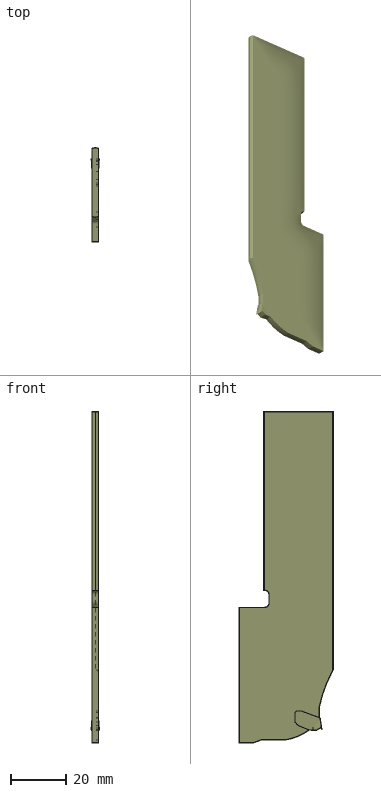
import cadquery as cq
import math

height = 120.0
depth = 34.19
blade_thickness = 2.5
cutting_width = 3.0
half_thickness = blade_thickness / 2

shank_width = 25.3
shank_front_y = depth - shank_width
edge_slope = math.radians(15)
edge_depth = half_thickness * math.tan(edge_slope)

shelf_z = 49.1
notch_height = 6.1
notch_top_z = shelf_z + notch_height
notch_back_y = 10.8
notch_radius = 1.5

relief_start = (depth, 26.6)
relief_middle = (31.1, 19.9)
relief_end = (29.1, 12.9)

foot_width = 5.3
step_height = 1.05
step_front_y = 8.1
under_arc_start_y = 16.9
under_arc_middle = (21.5, 2.4)

seat_top_outer = (relief_end[0], 9.1)
seat_top_inner = (22.6, 11.5)
seat_back_y = 20.2
seat_corner = 0.6
seat_back_low = (seat_back_y, 7.55)
seat_bottom_inner = (21.4, 6.3)
seat_bottom_outer = (25.4, 4.65)

tip = (30.0, 4.9)
insert_heel = (29.4, 8.9)
tip_groove = (29.5, 5.4)
tip_land_z = 4.5
tip_land_start_y = 28.0
flare_front_y = 26.75
flare_length = 2.7
flare_angle = math.radians(45)


def add_seat(outline):
    """Continue an outline along the insert seat, from its lower mouth to its upper one."""
    return (
        outline.lineTo(*seat_bottom_inner)
        .lineTo(*seat_back_low)
        .lineTo(seat_back_y, seat_top_inner[1] - seat_corner)
        .lineTo(seat_back_y + seat_corner, seat_top_inner[1])
        .lineTo(*seat_top_inner)
        .lineTo(*seat_top_outer)
    )


def extrude_both_ways(outline, thickness):
    return outline.close().extrude(thickness / 2, both=True)


def edge_bevel(apex_y, inward, bottom_z):
    """Two wedges that leave a V-shaped edge with its apex on the middle plane."""
    root_y = apex_y + inward * edge_depth
    wedges = cq.Workplane("XY")
    for side in (-1, 1):
        wedge = (
            cq.Workplane("XY", origin=(0, 0, bottom_z))
            .moveTo(0, apex_y)
            .lineTo(side * half_thickness, root_y)
            .lineTo(side * half_thickness, apex_y)
            .close()
            .extrude(height - bottom_z)
        )
        wedges = wedges.add(wedge)
    return wedges.combine()


def make_blade():
    corner_offset = notch_radius * (1 - math.sqrt(0.5))
    notch_mouth_y = notch_back_y - notch_radius
    outline = (
        cq.Workplane("YZ")
        .moveTo(0, 0)
        .lineTo(foot_width, 0)
        .lineTo(step_front_y, step_height)
        .lineTo(under_arc_start_y, step_height)
        .threePointArc(under_arc_middle, seat_bottom_outer)
    )
    outline = (
        add_seat(outline)
        .lineTo(*relief_end)
        .threePointArc(relief_middle, relief_start)
        .lineTo(depth, height)
        .lineTo(shank_front_y, height)
        .lineTo(shank_front_y, notch_top_z)
        .lineTo(notch_mouth_y, notch_top_z)
        .threePointArc(
            (notch_back_y - corner_offset, notch_top_z - corner_offset),
            (notch_back_y, notch_top_z - notch_radius),
        )
        .lineTo(notch_back_y, shelf_z + notch_radius)
        .threePointArc(
            (notch_back_y - corner_offset, shelf_z + corner_offset),
            (notch_mouth_y, shelf_z),
        )
        .lineTo(0, shelf_z)
    )
    blade = extrude_both_ways(outline, blade_thickness)
    blade = blade.cut(edge_bevel(depth, -1, relief_middle[1]))
    return blade.cut(edge_bevel(shank_front_y, 1, notch_top_z))


def insert_prism(thickness):
    outline = (
        cq.Workplane("YZ")
        .moveTo(*tip)
        .lineTo(*tip_groove)
        .lineTo(tip_land_start_y, tip_land_z)
        .lineTo(flare_front_y, tip_land_z)
        .lineTo(*seat_bottom_outer)
    )
    outline = add_seat(outline).lineTo(*insert_heel)
    return extrude_both_ways(outline, thickness)


def tip_flare():
    """Tip portion that narrows on both sides from the cutting corner to the blade thickness."""
    inward = (0, -math.cos(flare_angle), math.sin(flare_angle))
    along = (0, math.sin(flare_angle), math.cos(flare_angle))
    taper = (
        cq.Workplane(cq.Plane(origin=(0, *tip), xDir=inward, normal=along))
        .moveTo(0, -cutting_width / 2)
        .lineTo(flare_length, -half_thickness)
        .lineTo(flare_length, half_thickness)
        .lineTo(0, cutting_width / 2)
        .close()
        .extrude(depth, both=True)
    )
    tip_zone = cq.Workplane("XY").box(cutting_width, depth, height, centered=(True, False, True))
    tip_zone = tip_zone.translate((0, flare_front_y, 0))
    return insert_prism(cutting_width).intersect(taper).intersect(tip_zone)


def make_insert():
    return insert_prism(blade_thickness).union(tip_flare())


blade = make_blade()
insert = make_insert()
result = cq.Compound.makeCompound([blade.val(), insert.val()])